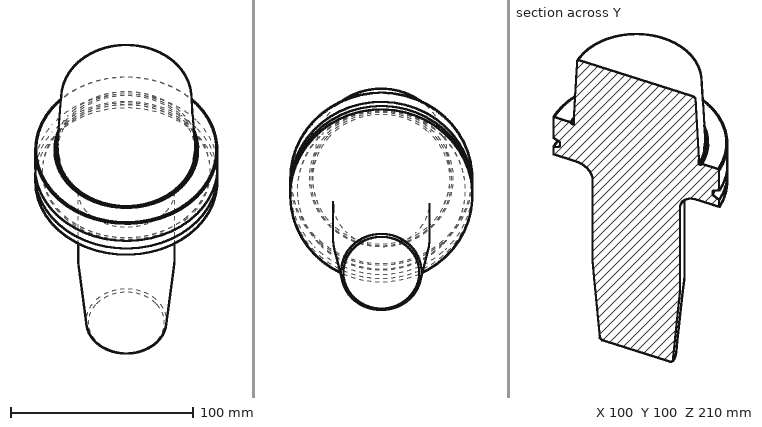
import cadquery as cq
import math

total_height = 210.0

taper_height = 49.7
taper_top_radius = 35.7
taper_base_radius = 37.8
taper_edge_round = 2.0

neck_radius = 37.5
neck_height = 2.7
neck_slope = 1.5
recess_outer_radius = 39.5
recess_depth = 1.0
recess_chamfer = 0.8

flange_radius = 50.0
flange_height = 29.2
flange_chamfer = 0.6
groove_floor_radius = 46.0
groove_floor_width = 3.0
groove_corner_round = 1.0
groove_centre_above_base = 9.2
groove_flank_angle = math.radians(27)

shank_radius = 26.5
shank_fillet = 9.9
nose_height = 57.5
nose_end_radius = 22.0
nose_chamfer = 1.3

flange_top = total_height - taper_height
flange_base = flange_top - flange_height


def make_body():
    """Turn the nose, shank, flange, neck and taper as one solid."""
    neck_top = flange_top + neck_height
    profile = (
        cq.Workplane("XZ")
        .lineTo(nose_end_radius - nose_chamfer, 0)
        .lineTo(nose_end_radius, nose_chamfer)
        .lineTo(shank_radius, nose_height)
        .lineTo(shank_radius, flange_base - shank_fillet)
        .radiusArc((shank_radius + shank_fillet, flange_base), shank_fillet)
        .lineTo(flange_radius, flange_base)
        .lineTo(flange_radius, flange_top - flange_chamfer)
        .lineTo(flange_radius - flange_chamfer, flange_top)
        .lineTo(neck_radius, flange_top)
        .lineTo(neck_radius, neck_top - neck_slope)
        .lineTo(taper_base_radius, neck_top)
        .lineTo(taper_top_radius, total_height)
        .lineTo(0, total_height)
        .close()
    )
    body = profile.revolve(360, (0, 0, 0), (0, 1, 0))
    return body.faces(">Z").edges().fillet(taper_edge_round)


def make_gripper_groove():
    """Ring with sloping flanks and rounded floor corners, cut into the flange rim."""
    flank_rise = (flange_radius - groove_floor_radius) * math.tan(groove_flank_angle)
    half_floor = groove_floor_width / 2
    half_mouth = half_floor + flank_rise
    middle = flange_base + groove_centre_above_base
    corners = [
        (groove_floor_radius, middle - half_floor),
        (flange_radius, middle - half_mouth),
        (flange_radius, middle + half_mouth),
        (groove_floor_radius, middle + half_floor),
    ]
    ring = cq.Workplane("XZ").polyline(corners).close().revolve(360, (0, 0, 0), (0, 1, 0))
    floor_edges = cq.selectors.RadiusNthSelector(0)
    return ring.edges("%CIRCLE").edges(floor_edges).fillet(groove_corner_round)


def make_face_recess():
    """Ring sunk into the flange face around the neck, with a chamfered outer edge."""
    corners = [
        (neck_radius, flange_top),
        (neck_radius, flange_top - recess_depth),
        (recess_outer_radius - recess_chamfer, flange_top - recess_depth),
        (recess_outer_radius, flange_top - recess_depth + recess_chamfer),
        (recess_outer_radius, flange_top),
    ]
    return cq.Workplane("XZ").polyline(corners).close().revolve(360, (0, 0, 0), (0, 1, 0))


result = make_body().cut(make_gripper_groove()).cut(make_face_recess())